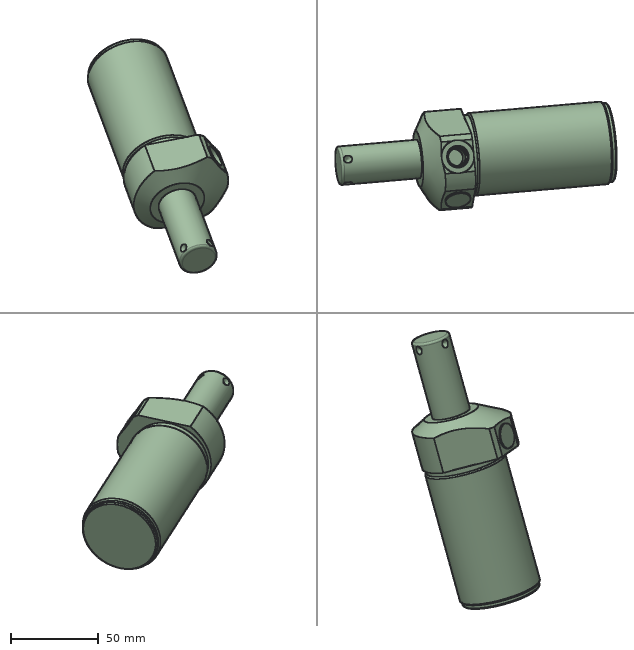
import cadquery as cq
import math


barrel_diameter = 47.4
barrel_end_x = 80.7
barrel_chamfer = 1.0
neck_diameter = 45.5
pilot_length = 2.5
pilot_chamfer = 0.8

head_start_x = 84.0
head_end_x = 111.0
head_diameter = 57.1
head_reach = 24.4
head_height = barrel_diameter
front_face_diameter = 32.0
front_cone_angle = 30.0
port_face_distance = 27.0
port_tilt = 30.0

port_setback = 9.3
port_x = head_start_x + port_setback
spotface_diameter = 18.9
spotface_depth = 0.2
port_diameter = 12.6
port_floor_diameter = 11.6
port_depth = 2.8
port_bore_diameter = 9.9
port_bore_depth = 12.6
port_cone_angle = 31.0
plug_diameter = 14.5
plug_height = 1.0

rod_diameter = 22.2
rod_end_x = 157.3
rod_fillet = 1.4
dimple_diameter = 4.9
dimple_cone_angle = 90.0
dimple_setback = 4.1
dimple_x = rod_end_x - dimple_setback
dimple_angles = (45, 135, 225, 315)

barrel_radius = barrel_diameter / 2
head_radius = head_diameter / 2
head_center_y = head_radius - head_reach
head_length = head_end_x - head_start_x
head_farthest = head_center_y + head_radius
port_lift = port_face_distance * math.sin(math.radians(port_tilt))
port_face_y = head_center_y + port_face_distance * math.cos(math.radians(port_tilt))


def revolve_about_axis(points):
    """Turn an (x, radius) outline around the X axis."""
    return cq.Workplane("XY").polyline(points).close().revolve(360, (0, 0), (1, 0))


def make_barrel():
    neck_radius = neck_diameter / 2
    return revolve_about_axis([
        (0, 0),
        (0, neck_radius - pilot_chamfer),
        (pilot_chamfer, neck_radius),
        (pilot_length, neck_radius),
        (pilot_length + barrel_chamfer, barrel_radius),
        (barrel_end_x - barrel_chamfer, barrel_radius),
        (barrel_end_x, neck_radius),
        (head_start_x, neck_radius),
        (head_start_x, 0),
    ])


def port_plane(side):
    """Plane on the port face of one side (+1 up, -1 down), facing outwards."""
    tilt = math.radians(side * port_tilt)
    return cq.Plane(
        origin=(port_x, port_face_y, side * port_lift),
        xDir=(1, 0, 0),
        normal=(0, math.cos(tilt), math.sin(tilt)),
    )


def make_head():
    head = (
        cq.Workplane("YZ", origin=(head_start_x, head_center_y, 0))
        .circle(head_radius)
        .extrude(head_length)
    )
    flats = (
        cq.Workplane("YZ", origin=(head_start_x, 0, 0))
        .rect(4 * head_radius, head_height)
        .extrude(head_length)
    )
    front_radius = front_face_diameter / 2
    cone_length = (head_farthest - front_radius) * math.tan(math.radians(front_cone_angle))
    cone = revolve_about_axis([
        (head_start_x, 0),
        (head_start_x, head_farthest),
        (head_end_x - cone_length, head_farthest),
        (head_end_x, front_radius),
        (head_end_x, 0),
    ])
    head = head.intersect(flats).intersect(cone)
    for side in (1, -1):
        outside = cq.Workplane(port_plane(side)).rect(4 * head_length, head_diameter).extrude(head_radius)
        head = head.cut(outside)
    return head


def make_port():
    """Material removed for the open upper port: spotface, tapered port, coned step and bore."""
    port_radius = port_diameter / 2
    floor_radius = port_floor_diameter / 2
    bore_radius = port_bore_diameter / 2
    step_depth = (floor_radius - bore_radius) * math.tan(math.radians(port_cone_angle))
    outline = [
        (0, 0),
        (spotface_diameter / 2, 0),
        (spotface_diameter / 2, -spotface_depth),
        (port_radius, -spotface_depth),
        (floor_radius, -port_depth),
        (bore_radius, -port_depth - step_depth),
        (bore_radius, -port_bore_depth),
        (0, -port_bore_depth),
    ]
    profile = cq.Workplane("XY").polyline(outline).close()
    tool = profile.revolve(360, (0, 0), (0, 1)).rotate((0, 0, 0), (1, 0, 0), port_tilt)
    return tool.translate((port_x, port_face_y, port_lift))


def make_plug():
    """Low round plug standing on the lower port face."""
    return cq.Workplane(port_plane(-1)).circle(plug_diameter / 2).extrude(plug_height)


def make_rod():
    rod = (
        cq.Workplane("YZ", origin=(head_end_x, 0, 0))
        .circle(rod_diameter / 2)
        .extrude(rod_end_x - head_end_x)
        .faces(">X").edges().fillet(rod_fillet)
    )
    rod_radius = rod_diameter / 2
    half_angle = math.radians(dimple_cone_angle / 2)
    tip_depth = dimple_diameter / 2 / math.tan(half_angle)
    cone_height = 2 * tip_depth
    profile = [
        (0, rod_radius - tip_depth),
        (cone_height * math.tan(half_angle), rod_radius - tip_depth + cone_height),
        (0, rod_radius - tip_depth + cone_height),
    ]
    cone = cq.Workplane("XZ").polyline(profile).close().revolve(360, (0, 0), (0, 1))
    dimple = cone.translate((dimple_x, 0, 0))
    for angle in dimple_angles:
        rod = rod.cut(dimple.rotate((0, 0, 0), (1, 0, 0), angle))
    return rod


head = make_head().cut(make_port()).union(make_plug())
result = make_barrel().union(head).union(make_rod())